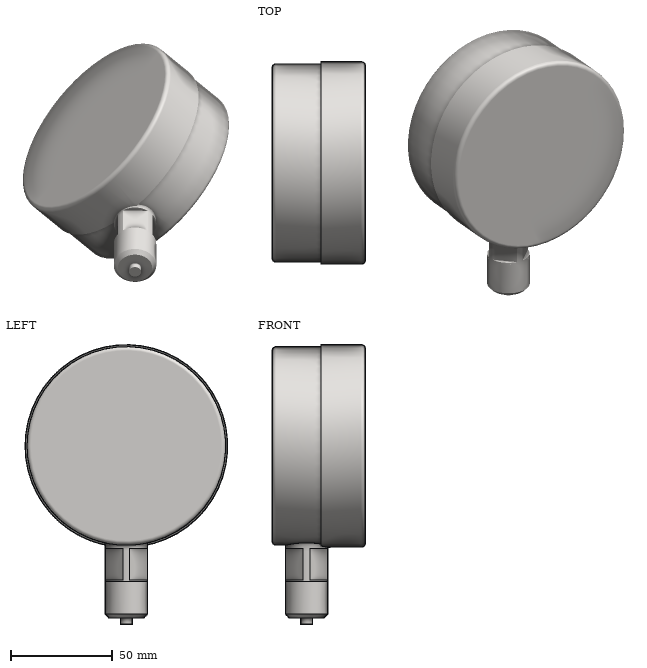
import cadquery as cq

case_diameter = 98.0
case_length = 24.0
bezel_diameter = 100.0
overall_length = 46.0
rim_radius = 2.0

stem_x = 17.0
stem_diameter = 21.0
neck_diameter = 20.95
stem_drop = 35.0
barrel_height = 18.0
stem_bottom_z = -bezel_diameter / 2 - stem_drop
neck_bottom_z = stem_bottom_z + barrel_height
stem_chamfer = 2.0

across_flats = 17.0
flats_turn = 45.0
collar_height = 0.8
flats_bottom_z = neck_bottom_z + collar_height
flats_height = 15.5

pin_diameter = 6.0
pin_length = 3.0


def vertical_cylinder(diameter, bottom_z, height):
    """Cylinder on the stem axis."""
    return (
        cq.Workplane("XY", origin=(stem_x, 0, bottom_z))
        .circle(diameter / 2)
        .extrude(height)
    )


def make_case():
    """Housing and larger bezel, both with a rounded outer rim."""
    housing = cq.Workplane("YZ").circle(case_diameter / 2).extrude(case_length)
    housing = housing.faces("<X").edges().fillet(rim_radius)
    bezel = (
        cq.Workplane("YZ", origin=(case_length, 0, 0))
        .circle(bezel_diameter / 2)
        .extrude(overall_length - case_length)
        .faces(">X").edges().fillet(rim_radius)
    )
    return housing.union(bezel)


def make_flats_cutter():
    """Ring of material removed around the square wrench section."""
    square = (
        cq.Workplane("XY", origin=(stem_x, 0, flats_bottom_z))
        .transformed(rotate=(0, 0, flats_turn))
        .rect(across_flats, across_flats)
        .extrude(flats_height)
    )
    surround = vertical_cylinder(2 * neck_diameter, flats_bottom_z, flats_height)
    return surround.cut(square)


def make_stem():
    """Chamfered lower barrel, neck with four wrench flats, and end pin."""
    barrel = vertical_cylinder(stem_diameter, stem_bottom_z, barrel_height)
    barrel = barrel.faces("<Z").edges().chamfer(stem_chamfer)
    neck = vertical_cylinder(neck_diameter, neck_bottom_z, -neck_bottom_z)
    neck = neck.cut(make_flats_cutter())
    pin = vertical_cylinder(pin_diameter, stem_bottom_z - pin_length, pin_length)
    return barrel.union(neck).union(pin)


result = make_case().union(make_stem())